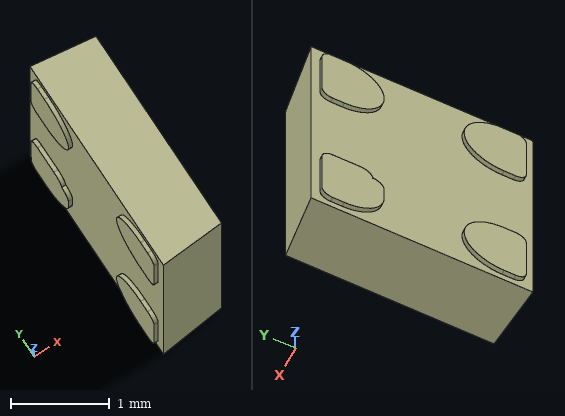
import cadquery as cq
import math

WIDTH_Y = 2.5
HEIGHT_Z = 3.2
TOTAL_DEPTH_X = 0.8
PAD_THICKNESS = 0.05
SIDE_INSET = 0.075

PAD_WIDTH = 0.7
PAD_HEIGHT = 0.9
EDGE_MARGIN = 0.1
PAD_CORNER_RADIUS = 0.12
PAD_ROUND_RADIUS = PAD_HEIGHT / 2

LOBE_RADIUS = 0.15
LOBE_SETBACK = 0.275

BODY_DEPTH = TOTAL_DEPTH_X - PAD_THICKNESS
PAD_FACE_X = -TOTAL_DEPTH_X / 2
BODY_FACE_X = PAD_FACE_X + PAD_THICKNESS
PAD_CENTER_Y = WIDTH_Y / 2 - EDGE_MARGIN - PAD_WIDTH / 2
PAD_CENTER_Z = HEIGHT_Z / 2 - EDGE_MARGIN - PAD_HEIGHT / 2

INNER = -PAD_WIDTH / 2
OUTER = PAD_WIDTH / 2
BOTTOM = -PAD_HEIGHT / 2
TOP = PAD_HEIGHT / 2

DIAGONAL = math.sqrt(0.5)


def make_body():
    """Block whose four side walls lean in toward +X."""
    return (
        cq.Workplane("YZ", origin=(BODY_FACE_X, 0, 0))
        .rect(WIDTH_Y, HEIGHT_Z)
        .workplane(offset=BODY_DEPTH)
        .rect(WIDTH_Y - 2 * SIDE_INSET, HEIGHT_Z - 2 * SIDE_INSET)
        .loft(ruled=True)
    )


def start_pad(center_y, center_z):
    """Sketch plane on the outer pad face, centred on one pad."""
    return cq.Workplane("YZ", origin=(PAD_FACE_X, center_y, center_z))


def round_lower_inner_corner(sketch):
    """Quarter circle from the inner edge at mid height down to the bottom edge."""
    center_y = INNER + PAD_ROUND_RADIUS
    center_z = BOTTOM + PAD_ROUND_RADIUS
    reach = PAD_ROUND_RADIUS * DIAGONAL
    return sketch.threePointArc((center_y - reach, center_z - reach), (center_y, BOTTOM))


def outer_edge(sketch):
    """Bottom edge, rounded outer corners and outer edge, ending on the top edge."""
    radius = PAD_CORNER_RADIUS
    center_y = OUTER - radius
    reach = radius * DIAGONAL
    return (
        sketch.lineTo(center_y, BOTTOM)
        .threePointArc((center_y + reach, BOTTOM + radius - reach), (OUTER, BOTTOM + radius))
        .lineTo(OUTER, TOP - radius)
        .threePointArc((center_y + reach, TOP - radius + reach), (center_y, TOP))
    )


def make_pad(center_y, center_z):
    """D-shaped pad with its round side toward -Y."""
    round_center_y = INNER + PAD_ROUND_RADIUS
    reach = PAD_ROUND_RADIUS * DIAGONAL
    sketch = start_pad(center_y, center_z).moveTo(INNER, 0)
    sketch = round_lower_inner_corner(sketch)
    sketch = outer_edge(sketch).lineTo(round_center_y, TOP)
    sketch = sketch.threePointArc((round_center_y - reach, reach), (INNER, 0))
    return sketch.close().extrude(PAD_THICKNESS)


def make_index_pad(center_y, center_z):
    """Pad with a notch in its upper inner corner that marks the first contact."""
    reach = LOBE_SETBACK + LOBE_RADIUS
    notch_depth = (reach - math.sqrt(reach**2 - 2 * LOBE_SETBACK**2)) / 2
    half_sweep = math.acos((LOBE_RADIUS - notch_depth) / LOBE_RADIUS) / 2
    mid_along = LOBE_SETBACK - LOBE_RADIUS * math.sin(half_sweep)
    mid_depth = LOBE_RADIUS * (1 - math.cos(half_sweep))

    sketch = start_pad(center_y, center_z).moveTo(INNER, 0)
    sketch = round_lower_inner_corner(sketch)
    sketch = outer_edge(sketch)
    sketch = (
        sketch.lineTo(INNER + LOBE_SETBACK, TOP)
        .threePointArc((INNER + mid_along, TOP - mid_depth), (INNER + notch_depth, TOP - notch_depth))
        .threePointArc((INNER + mid_depth, TOP - mid_along), (INNER, TOP - LOBE_SETBACK))
        .close()
    )
    return sketch.extrude(PAD_THICKNESS)


upper_pad = make_pad(PAD_CENTER_Y, PAD_CENTER_Z)
lower_pad = make_pad(PAD_CENTER_Y, -PAD_CENTER_Z)
index_pad = make_index_pad(PAD_CENTER_Y, -PAD_CENTER_Z)

result = make_body()
for pad in (upper_pad, index_pad, upper_pad.mirror("XZ"), lower_pad.mirror("XZ")):
    result = result.union(pad)